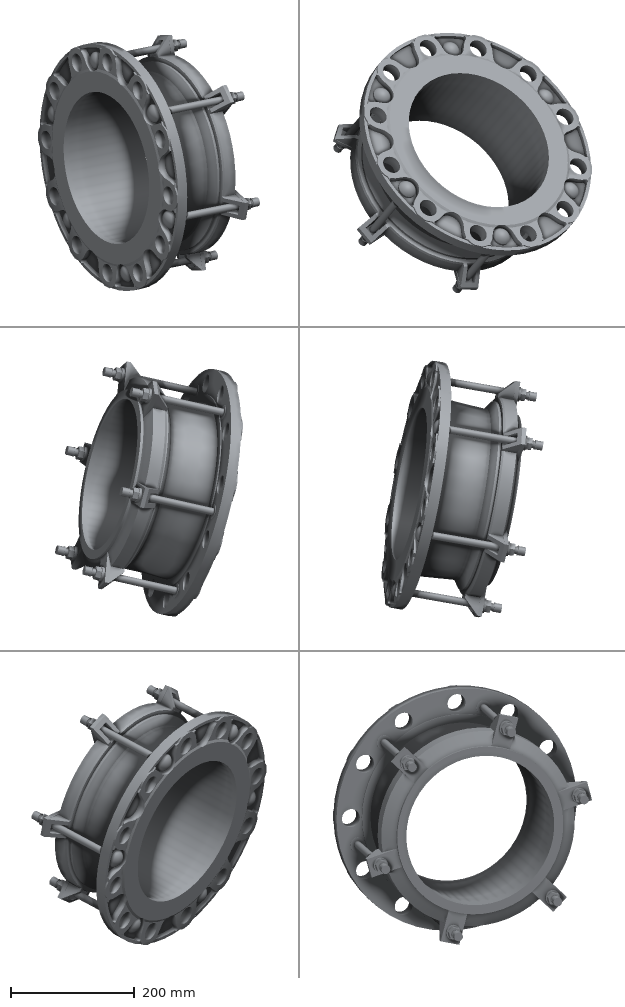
import cadquery as cq
import math


bore_radius = 125.0
body_neck_radius = 141.0
body_root_radius = 146.0
body_neck_start = 98.3
body_cone_start = 102.7
body_cone_radius = 141.5
socket_rim_radius = 155.5
socket_rim_start = 113.0
socket_rim_end = 117.0
gasket_radius = 152.2

gland_radius = 163.5
gland_edge_radius = 162.0
gland_start = 118.0
gland_chamfer_end = 121.5
gland_cone_start = 142.0
gland_cone_end = 150.2
gland_lip_radius = 140.5
gland_end = 154.5

flange_radius = 203.0
face_tip_radius = 158.7
face_base_radius = 163.0
pad_level = 2.0
rim_level = 5.0
flange_back = 22.5
hub_radius = 160.5
hub_level = 24.5

hole_count = 12
hole_spacing = 360 / hole_count
hole_circle = 178.5
hole_radius = 15.0
pad_radius = 25.0

pocket_floor = 13.0
pocket_outer_radius = 197.5
pocket_inner_round = 20.0
pocket_circle = 178.0
pocket_corner_round = 3.2

bolt_count = 6
first_bolt_angle = 45
bolt_circle = 173.8
rod_radius = 6.0
head_radius = 15.0
dome_tip = 0.5
dome_height = 9.0
seat_radius = 24.0 / 2
seat_level = 23.0
nut_corner_radius = 11.0
nut_sides = 6
nut_start = 154.5
nut_end = 163.5
collar_radius = 16.0 / 2
collar_start = 169.5
collar_end = 170.5
cap_radius = 7.5
bolt_end = 182.0

bracket_outer = 193.0
bracket_inner = 134.0
bracket_bottom = gland_start
plate_bottom = 143.5
plate_top = 150.2
bracket_half_width = 16.2
wedge_inner_half_width = 14.2
recess_half_width = 8.5
recess_outer = 186.8
recess_inner = 162.5


def polar(radius, angle):
    """Point at a radius and an angle in degrees."""
    return (radius * math.cos(math.radians(angle)), radius * math.sin(math.radians(angle)))


def offset_from(centre, distance, angle):
    """Point at a distance and an angle in degrees from a centre."""
    dx, dy = polar(distance, angle)
    return (centre[0] + dx, centre[1] + dy)


def mirrored(point):
    return (point[0], -point[1])


def cross_section(level):
    """Plane across the pipe at a Y level; local axes X and Z, normal -Y."""
    return cq.Workplane("XZ", origin=(0, level, 0))


def disc(radius, start, end, centres=((0, 0),)):
    """Round discs between two Y levels."""
    return cross_section(start).pushPoints(centres).circle(radius).extrude(start - end)


def turned(points):
    """Solid of revolution about Y from (radius, level) points."""
    return cq.Workplane("XY").polyline(points).close().revolve(360, (0, 0, 0), (0, 1, 0))


def at_angle(shape, angle):
    """Turn a shape built on the +X side to an angle measured from X towards Z."""
    return shape.rotate((0, 0, 0), (0, 1, 0), -angle)


def make_barrel():
    return turned([
        (0, hub_level),
        (body_root_radius, hub_level),
        (body_neck_radius, body_neck_start),
        (body_cone_radius, body_cone_start),
        (socket_rim_radius, socket_rim_start),
        (socket_rim_radius, socket_rim_end),
        (gasket_radius, socket_rim_end),
        (gasket_radius, gland_start),
        (gland_edge_radius, gland_start),
        (gland_radius, gland_chamfer_end),
        (gland_radius, gland_cone_start),
        (gland_lip_radius, gland_cone_end),
        (gland_lip_radius, gland_end),
        (0, gland_end),
    ])


def make_pocket():
    """Cutter on the +X side: a tear shape between two pads, with a round inner end."""
    inner_end = (pocket_circle, 0)
    pad = polar(hole_circle, hole_spacing / 2)
    gap = math.hypot(pad[0] - inner_end[0], pad[1] - inner_end[1])
    pad_direction = math.degrees(math.atan2(pad[1] - inner_end[1], pad[0] - inner_end[0]))

    tangent = pad_direction + math.degrees(math.acos((pocket_inner_round + pad_radius) / gap))
    wall_inner = offset_from(inner_end, pocket_inner_round, tangent)
    wall_outer = offset_from(pad, -pad_radius, tangent)

    pad_reach = math.degrees(math.acos(
        (hole_circle**2 + pocket_outer_radius**2 - pad_radius**2)
        / (2 * hole_circle * pocket_outer_radius)
    ))
    corner = polar(pocket_outer_radius, hole_spacing / 2 - pad_reach)
    corner_direction = math.degrees(math.atan2(corner[1] - pad[1], corner[0] - pad[0]))
    pad_middle = offset_from(pad, pad_radius, (tangent - 180 + corner_direction) / 2)

    pocket = (
        cross_section(pocket_floor)
        .moveTo(*corner)
        .threePointArc(pad_middle, wall_outer)
        .lineTo(*wall_inner)
        .threePointArc((pocket_circle - pocket_inner_round, 0), mirrored(wall_inner))
        .lineTo(*mirrored(wall_outer))
        .threePointArc(mirrored(pad_middle), mirrored(corner))
        .threePointArc((pocket_outer_radius, 0), corner)
        .close()
        .extrude(pocket_floor)
    )
    reach = pocket_corner_round / 8
    corners = cq.selectors.BoxSelector(
        (corner[0] - reach, -flange_radius, -flange_radius),
        (corner[0] + reach, flange_radius, flange_radius),
    )
    return pocket.edges("|Y").edges(corners).fillet(pocket_corner_round)


def make_flange():
    hole_centres = [polar(hole_circle, i * hole_spacing) for i in range(hole_count)]
    flange = disc(flange_radius, rim_level, flange_back)
    flange = flange.union(disc(hub_radius, rim_level, hub_level))
    flange = flange.union(disc(pocket_outer_radius, pad_level, rim_level))
    for centre in hole_centres:
        pad = disc(pad_radius, pad_level, rim_level, [centre])
        flange = flange.union(pad.intersect(disc(flange_radius, pad_level, rim_level)))

    flange = flange.union(turned([
        (0, 0),
        (face_tip_radius, 0),
        (face_base_radius, pad_level),
        (0, pad_level),
    ]))

    pocket = make_pocket()
    for i in range(hole_count):
        flange = flange.cut(at_angle(pocket, (i + 0.5) * hole_spacing))
    return flange.cut(disc(hole_radius, 0, hub_level, hole_centres))


def make_bracket():
    """Bracket on the +X side: a plate over a tapered 45 degree wedge with a recess below."""
    width = 2 * bracket_half_width
    plate = cq.Workplane("XY").box(
        bracket_outer - bracket_inner, plate_top - plate_bottom, width, centered=(False, False, True)
    ).translate((bracket_inner, plate_bottom, 0))

    wedge_drop = plate_bottom - bracket_bottom
    wedge = cq.Workplane("XY").polyline([
        (bracket_inner, plate_bottom),
        (bracket_outer, plate_bottom),
        (bracket_outer - wedge_drop, bracket_bottom),
        (bracket_inner, bracket_bottom),
    ]).close().extrude(bracket_half_width, both=True)
    wedge_plan = cross_section(bracket_bottom).polyline([
        (bracket_inner, -wedge_inner_half_width),
        (bracket_outer, -bracket_half_width),
        (bracket_outer, bracket_half_width),
        (bracket_inner, wedge_inner_half_width),
    ]).close().extrude(-wedge_drop)

    recess = cq.Workplane("XY").box(
        recess_outer - recess_inner, wedge_drop, 2 * recess_half_width, centered=(False, False, True)
    ).translate((recess_inner, bracket_bottom, 0))
    return plate.union(wedge.intersect(wedge_plan).cut(recess))


def make_bolt():
    """Tie bolt on the +X side with its domed head, washer seats, nut and end cap."""
    centre = [(bolt_circle, 0)]
    dome_radius = (head_radius**2 + dome_height**2) / (2 * dome_height)
    dome = cq.Workplane("XY").sphere(dome_radius).translate((bolt_circle, dome_tip + dome_radius, 0))
    head = disc(head_radius, dome_tip, pocket_floor, centre).intersect(dome)
    nut_corners = [
        offset_from(centre[0], nut_corner_radius, (i + 0.5) * 360 / nut_sides)
        for i in range(nut_sides)
    ]
    nut = cross_section(nut_start).polyline(nut_corners).close().extrude(nut_start - nut_end)
    return (
        disc(rod_radius, pocket_floor, bolt_end, centre)
        .union(head)
        .union(disc(seat_radius, flange_back, seat_level, centre))
        .union(disc(seat_radius, plate_top, nut_start, centre))
        .union(nut)
        .union(disc(collar_radius, collar_start, collar_end, centre))
        .union(disc(cap_radius, collar_end, bolt_end, centre))
    )


bracket = make_bracket()
tie_bolt = make_bolt()
fitted = make_flange().union(make_barrel())
for i in range(bolt_count):
    bolt_angle = first_bolt_angle + i * 360 / bolt_count
    fitted = fitted.union(at_angle(bracket, bolt_angle))
    fitted = fitted.union(at_angle(tie_bolt, bolt_angle))

result = fitted.cut(disc(bore_radius, 0, bolt_end))